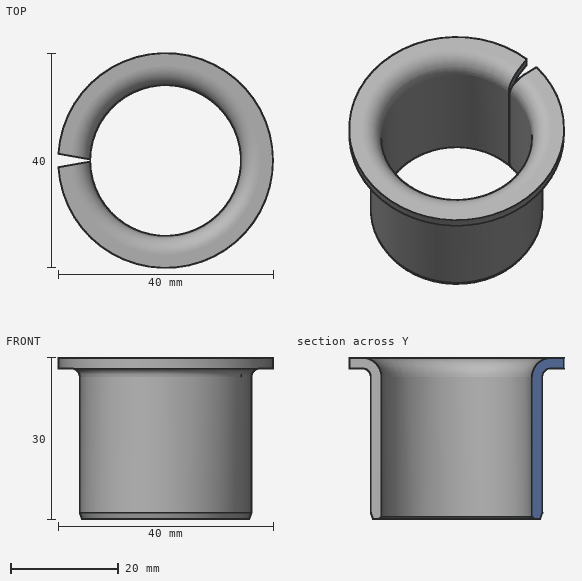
import cadquery as cq
import math

height = 30.0
bore_radius = 14.0
wall = 2.0
flange_radius = 20.0

throat_radius = 1.5
mouth_radius = throat_radius + wall
lead_in_height = 1.2
lead_in_angle = 20.0
bore_chamfer = 0.48

split_half_angle = 10.0
split_half_gap = 0.18
split_overshoot = 2.0

body_radius = bore_radius + wall
flange_bottom = height - wall
lead_in_width = lead_in_height * math.tan(math.radians(lead_in_angle))


def make_sleeve():
    """Revolve the bent wall: plain sleeve below, flange above."""
    bend_radius = body_radius + throat_radius
    bend_height = flange_bottom - throat_radius
    diagonal = math.sqrt(0.5)

    def bend_point(radius):
        return (bend_radius - radius * diagonal, bend_height + radius * diagonal)

    return (
        cq.Workplane("XZ")
        .moveTo(bore_radius + bore_chamfer, 0)
        .lineTo(body_radius - lead_in_width, 0)
        .lineTo(body_radius, lead_in_height)
        .lineTo(body_radius, bend_height)
        .threePointArc(bend_point(throat_radius), (bend_radius, flange_bottom))
        .lineTo(flange_radius, flange_bottom)
        .lineTo(flange_radius, height)
        .lineTo(bend_radius, height)
        .threePointArc(bend_point(mouth_radius), (bore_radius, bend_height))
        .lineTo(bore_radius, bore_chamfer)
        .close()
        .revolve(360, (0, 0), (0, 1))
    )


def make_split_cutter():
    """Full-height wedge whose tip lies inside the bore."""
    slope = math.tan(math.radians(split_half_angle))
    tip_radius = bore_radius - split_half_gap / slope
    outer_radius = flange_radius + split_overshoot
    outer_half_gap = (outer_radius - tip_radius) * slope
    return (
        cq.Workplane("XY")
        .polyline([
            (-tip_radius, 0),
            (-outer_radius, outer_half_gap),
            (-outer_radius, -outer_half_gap),
        ])
        .close()
        .extrude(height)
    )


sleeve = make_sleeve().rotate((0, 0, 0), (0, 0, 1), 180)
result = sleeve.cut(make_split_cutter())